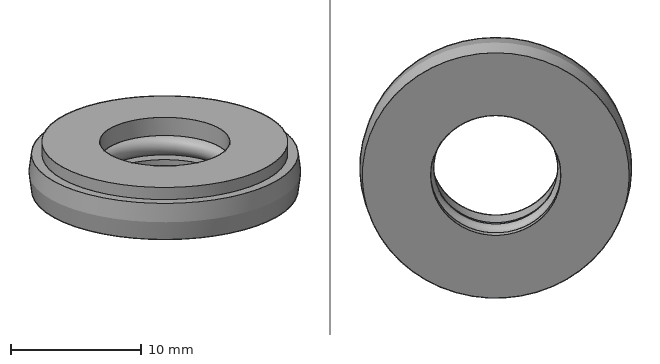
import cadquery as cq

total_height = 4.0
rim_radius = 10.45
flange_height = 3.0
flange_end_radius = 10.25
rim_height = flange_height / 2
step_radius = 9.45
bore_radius = 5.0

lip_height = 0.5
groove_width = 2.0
groove_top = lip_height + groove_width
cord_radius = 0.75
seal_inner_radius = 4.75
cord_center_radius = seal_inner_radius + cord_radius
cord_center_height = lip_height + groove_width / 2
groove_radius = cord_center_radius + cord_radius


def make_housing():
    """Flanged ring with a square groove in its bore, revolved about Z."""
    profile = (
        cq.Workplane("XZ")
        .moveTo(bore_radius, 0)
        .lineTo(flange_end_radius, 0)
        .lineTo(rim_radius, rim_height)
        .lineTo(flange_end_radius, flange_height)
        .lineTo(step_radius, flange_height)
        .lineTo(step_radius, total_height)
        .lineTo(bore_radius, total_height)
        .lineTo(bore_radius, groove_top)
        .lineTo(groove_radius, groove_top)
        .lineTo(groove_radius, lip_height)
        .lineTo(bore_radius, lip_height)
        .close()
    )
    return profile.revolve(360, (0, 0, 0), (0, 1, 0))


def make_seal_ring():
    """Round-section ring centred in the groove, touching its outer wall."""
    section = (
        cq.Workplane("XZ")
        .moveTo(cord_center_radius, cord_center_height)
        .circle(cord_radius)
    )
    return section.revolve(360, (0, 0, 0), (0, 1, 0))


housing = make_housing()
seal_ring = make_seal_ring()

result = cq.Compound.makeCompound([housing.val(), seal_ring.val()])